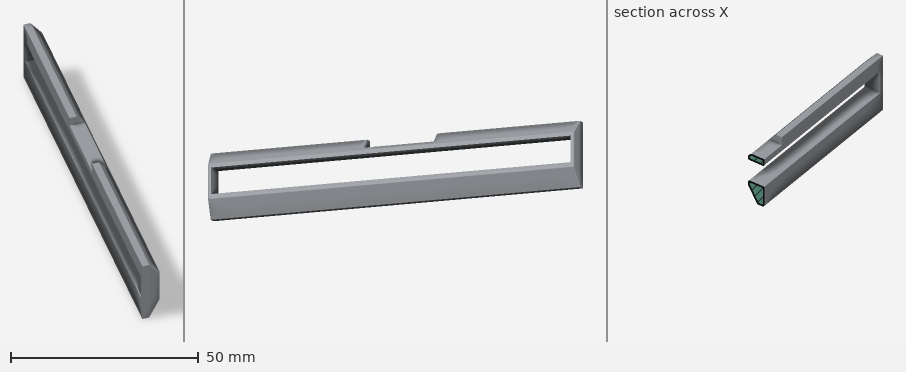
import cadquery as cq

length = 107.0
depth = 5.0
height = 18.0

plate_depth = 2.0
top_taper = 3.5
bottom_taper = 5.0
end_taper = 0.5

window_length = 104.2
window_height = 7.2
window_bottom = 6.3

notch_length = 20.2
notch_depth = 2.6
notch_center = -2.0

back_rounding = 0.4


def front_plate():
    """Straight rectangular plate with its front face on Y = 0."""
    return cq.Workplane("XY").box(length, plate_depth, height, centered=(True, False, False))


def tapered_back():
    """Truncated pyramid from the plate's back face to the smaller rear face."""
    rear_length = length - 2 * end_taper
    rear_height = height - top_taper - bottom_taper
    rear_shift = (bottom_taper - top_taper) / 2
    return (
        cq.Workplane("XZ", origin=(0, plate_depth, height / 2))
        .rect(length, height)
        .workplane(offset=-(depth - plate_depth))
        .center(0, rear_shift)
        .rect(rear_length, rear_height)
        .loft(ruled=True)
        .edges("not <Y")
        .fillet(back_rounding)
    )


def full_depth_cut(center, cut_length, bottom, top):
    """Block centred at the given X that passes through the whole depth between two heights."""
    return (
        cq.Workplane("XY", origin=(center, 0, bottom))
        .box(cut_length, depth, top - bottom, centered=(True, False, False))
    )


window = full_depth_cut(0, window_length, window_bottom, window_bottom + window_height)
notch = full_depth_cut(notch_center, notch_length, height - notch_depth, height)

result = front_plate().union(tapered_back()).cut(window).cut(notch)